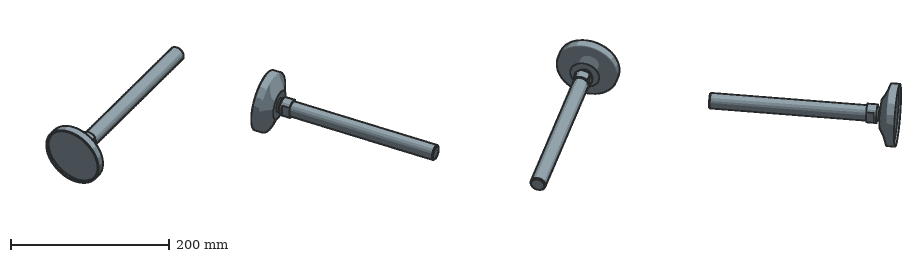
import cadquery as cq
import math


pad_radius = 40.0
pad_rim_height = 9.5
pad_rim_fillet = 2.0
pad_top_radius = 19.0
pad_top_height = 21.0
flare_end_angle = math.radians(17.0)

recess_radius = 38.0
recess_depth = 3.0

ball_radius = 10.0
neck_radius = 8.5
neck_start = 23.3
collar_radius = 12.0
collar_start = 26.0
collar_length = 13.0
flat_length = 10.0
flat_spacing = 17.0

rod_radius = 10.0
rod_length = 200.0
rod_chamfer = 1.5

collar_end = collar_start + collar_length
rod_end = collar_end + rod_length
ball_center = neck_start - math.sqrt(ball_radius**2 - neck_radius**2)


def revolve_about_y(profile):
    """Turn a closed (radius, height) outline around the Y axis."""
    return profile.close().revolve(360, (0, 0, 0), (0, 1, 0))


def make_pad():
    fillet_center = pad_radius - pad_rim_fillet

    def rim_point(angle):
        return (
            fillet_center + pad_rim_fillet * math.sin(angle),
            pad_rim_height + pad_rim_fillet * math.cos(angle),
        )

    half_turn_angle = (flare_end_angle + math.pi / 2) / 2
    outline = (
        cq.Workplane("XY")
        .moveTo(0, recess_depth)
        .lineTo(recess_radius, recess_depth)
        .lineTo(recess_radius, 0)
        .lineTo(pad_radius, 0)
        .lineTo(pad_radius, pad_rim_height)
        .threePointArc(rim_point(half_turn_angle), rim_point(flare_end_angle))
        .tangentArcPoint((pad_top_radius, pad_top_height), relative=False)
        .lineTo(0, pad_top_height)
    )
    return revolve_about_y(outline)


def make_stem():
    """Exposed cap of the ball, neck, collar and rod as one turned body."""
    ball_base_radius = math.sqrt(ball_radius**2 - (pad_top_height - ball_center) ** 2)
    cap_mid_height = (pad_top_height + neck_start) / 2
    cap_mid_radius = math.sqrt(ball_radius**2 - (cap_mid_height - ball_center) ** 2)
    outline = (
        cq.Workplane("XY")
        .moveTo(0, pad_top_height)
        .lineTo(ball_base_radius, pad_top_height)
        .threePointArc((cap_mid_radius, cap_mid_height), (neck_radius, neck_start))
        .lineTo(neck_radius, collar_start)
        .lineTo(collar_radius, collar_start)
        .lineTo(collar_radius, collar_end)
        .lineTo(rod_radius, collar_end)
        .lineTo(rod_radius, rod_end - rod_chamfer)
        .lineTo(rod_radius - rod_chamfer, rod_end)
        .lineTo(0, rod_end)
    )
    return revolve_about_y(outline)


def cut_wrench_flats(body):
    """Cut two parallel flats across X at the rod end of the collar."""
    flat_depth = collar_radius - flat_spacing / 2
    flat_center_y = collar_end - flat_length / 2
    for side in (-1, 1):
        center_x = side * (flat_spacing + flat_depth) / 2
        cutter = cq.Workplane("XY").box(flat_depth, flat_length, 2 * collar_radius)
        body = body.cut(cutter.translate((center_x, flat_center_y, 0)))
    return body


result = make_pad().union(cut_wrench_flats(make_stem()))